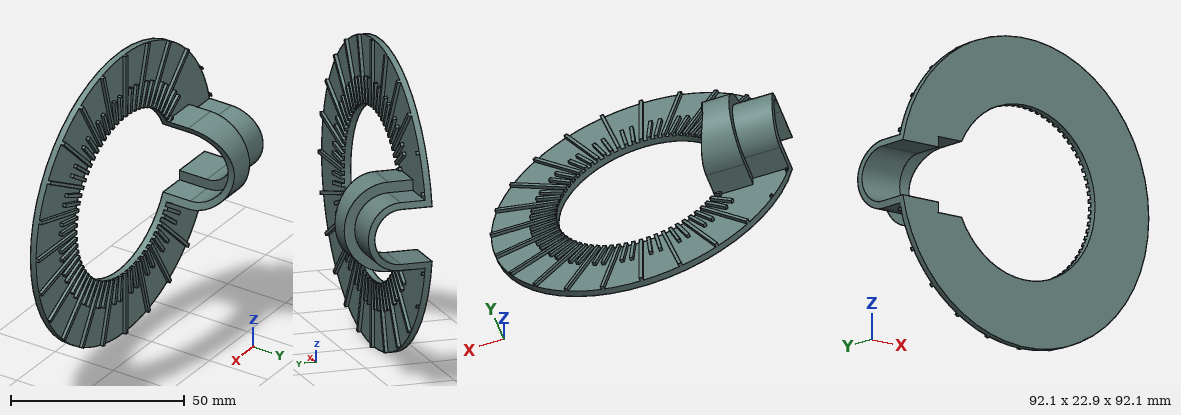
import cadquery as cq
import math


inner_radius = 26.04
ring_width = 20.0
outer_radius = inner_radius + ring_width
disc_thickness = 2.0

ridge_height = 1.0
ridge_width = 1.0
ridge_step = 5
long_ridge_step = 15
short_ridge_length = 8.0

gap_half_angle = 32.5
bore_stub_length = 2.0
rim_stub_length = 0.2
gap_inner_radius = inner_radius + bore_stub_length
gap_outer_radius = outer_radius - rim_stub_length

total_depth = 22.91
wall = 2.0
narrow_inner_radius = 8.2
narrow_outer_radius = narrow_inner_radius + wall
wide_inner_radius = 11.3
wide_outer_radius = 13.4
arch_center_y = total_depth - wide_outer_radius
wide_arch_length = 8.0
step_outer_x = -(inner_radius + wide_arch_length)
step_inner_x = step_outer_x + wall

overlap = 1.0


def disc_solid(radius, depth):
    """Cylinder along +Y, starting at Y = 0."""
    return cq.Workplane("XZ").circle(radius).extrude(-depth)


def ring_solid(depth):
    """Annulus between the bore and the rim."""
    return disc_solid(outer_radius, depth).cut(disc_solid(inner_radius, depth))


def arch_solid(radius, x_start, x_end, y_start=0.0):
    """Solid tunnel along X: straight sides topped by a half circle."""
    return (
        cq.Workplane("YZ", origin=(x_start, 0, 0))
        .moveTo(y_start, -radius)
        .lineTo(arch_center_y, -radius)
        .threePointArc((arch_center_y + radius, 0), (arch_center_y, radius))
        .lineTo(y_start, radius)
        .close()
        .extrude(x_end - x_start)
    )


def ridge(angle):
    """Radial bar from the axis outwards; long graduations reach the rim."""
    is_long = angle % long_ridge_step == 0
    length = ring_width if is_long else short_ridge_length
    return (
        cq.Workplane("XY")
        .box(inner_radius + length, ridge_height, ridge_width, centered=(False, False, True))
        .translate((0, disc_thickness, 0))
        .rotate((0, 0, 0), (0, 1, 0), angle)
    )


def graduated_disc():
    """Flat ring carrying the ridges; boring it out trims the bars to ridges."""
    body = disc_solid(outer_radius, disc_thickness)
    for angle in range(0, 360, ridge_step):
        body = body.union(ridge(angle))
    return body.intersect(ring_solid(total_depth))


def ridge_gap():
    """Annular sector above the disc that leaves only ridge stubs at the bore and the rim."""
    half_angle = math.radians(gap_half_angle)
    inner_x = -gap_inner_radius * math.cos(half_angle)
    inner_z = gap_inner_radius * math.sin(half_angle)
    outer_x = -gap_outer_radius * math.cos(half_angle)
    outer_z = gap_outer_radius * math.sin(half_angle)
    return (
        cq.Workplane("XZ", origin=(0, disc_thickness, 0))
        .moveTo(inner_x, -inner_z)
        .lineTo(outer_x, -outer_z)
        .threePointArc((-gap_outer_radius, 0), (outer_x, outer_z))
        .lineTo(inner_x, inner_z)
        .threePointArc((-gap_inner_radius, 0), (inner_x, -inner_z))
        .close()
        .extrude(-ridge_height)
    )


def arch_bodies():
    """Outer shapes of the two arches, trimmed by the rim and the bore."""
    narrow = arch_solid(narrow_outer_radius, -outer_radius, step_inner_x)
    wide = arch_solid(wide_outer_radius, step_outer_x, 0)
    return narrow.union(wide).intersect(ring_solid(total_depth))


def channel():
    """Stepped tunnel through the arches, the disc and its ridges."""
    narrow = arch_solid(narrow_inner_radius, -outer_radius - overlap, 0, -overlap)
    wide = arch_solid(wide_inner_radius, step_inner_x, 0, -overlap)
    return narrow.union(wide)


result = graduated_disc().cut(ridge_gap()).union(arch_bodies()).cut(channel())